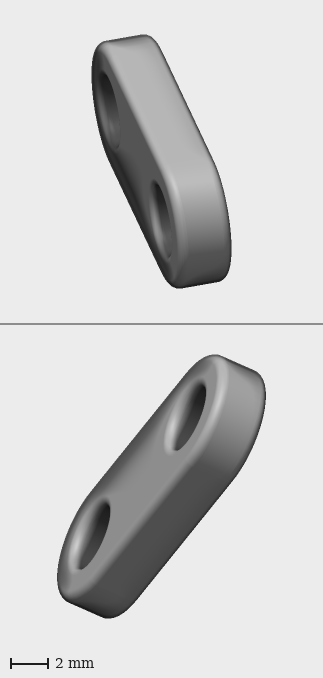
import cadquery as cq

hole_spacing = 10.0
link_height = 7.5
thickness = 3.0
hole_diameter = 3.6
edge_radius = 0.5

overall_length = hole_spacing + link_height


def make_link_body():
    """Round-ended plate lying in the XZ plane, centred on the origin."""
    return (
        cq.Workplane("XZ")
        .slot2D(overall_length, link_height)
        .extrude(thickness / 2, both=True)
    )


def cut_pin_holes(body):
    """Cut a through hole concentric with each rounded end."""
    hole_centers = [(-hole_spacing / 2, 0), (hole_spacing / 2, 0)]
    return (
        body.faces("<Y")
        .workplane(origin=(0, 0, 0))
        .pushPoints(hole_centers)
        .hole(hole_diameter)
    )


def round_face_edges(body):
    """Round the outline and the hole rims on both flat faces."""
    return body.faces("<Y or >Y").edges().fillet(edge_radius)


result = round_face_edges(cut_pin_holes(make_link_body()))